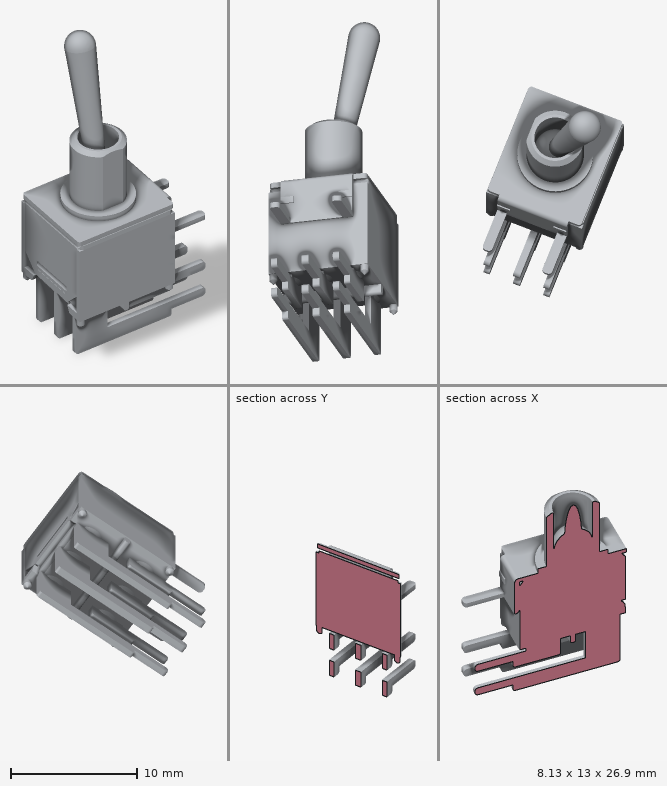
import cadquery as cq
import math


body_x = 8.13
body_y = 9.13
body_top = 7.8
wall = 0.4
cap_x = 7.95
cap_thickness = 0.43
cap_corner_radius = 0.25
shoulder_bottom = 6.98
cap_bottom = body_top - cap_thickness
shoulder_height = cap_bottom - shoulder_bottom
shoulder_run = 0.3
side_shoulder_run = 0.03
shoulder_corner_cut = 0.4
half_y = body_y / 2

panel_depth = 0.08
panel_y = panel_depth - half_y
panel_half_x = body_x / 2 - wall
ledge_top = 0.65
corner_depth = 0.25
corner_top = 2.3
tab_top = 0.83
tab_bottom = 0.18
tab_top_half_x = 2.24
tab_bottom_half_x = 2.64
tab_setback = 0.44
window_x = 4.17
window_bottom = 1.48
window_top = 2.3
window_depth = 0.35
catch_edge = 1.8
catch_gap = 0.02

flange_radius = 3.0
flange_top = 8.28
bushing_radius = 2.28
bushing_top = 13.88
bushing_flat_x = 2.07
bushing_chamfer_run = 0.4
bushing_chamfer_height = 0.3
bore_radius = 1.65
pivot_z = 9.79
lever_tilt = 12.3
lever_top = 22.61
lever_tip_radius = 1.27
lever_root_radius = 0.74
lever_length = (lever_top - lever_tip_radius - pivot_z) / math.cos(math.radians(lever_tilt))

pitch = 2.54
overall_y = 12.95
terminal_tip_y = overall_y - half_y
side_terminal_x = 0.5
middle_terminal_x = 0.58
prong_width = 0.8
prong_tip_radius = 0.3
blade_inner_y = 1.03
blade_outer_y = 4.02
blade_step_y = 5.13
blade_corner_radius = 0.2
prong_to_blade_bottom = 0.66
upper_prong_top = -0.25
overlap = 0.3

seal_half_x = 0.57
seal_half_y = 0.95
seal_height = 0.22
seal_taper = 50
foot_diameter = 0.65
foot_straight = 0.5
foot_height = 0.85
rib_thickness = 0.5
rib_height = 0.8
rib_edge_radius = 0.22

bracket_x = 2 * pitch + prong_width
bracket_thickness = 0.44
bracket_bottom = 4.02
bracket_bend_radius = 0.35
pad_height = 0.1
pad_x = 1.1
pad_bottom = 5.7
pad_top = 6.25


def box(x_range, y_range, z_range):
    """Axis-aligned box from its limits."""
    size = [b - a for a, b in (x_range, y_range, z_range)]
    corner = (x_range[0], y_range[0], z_range[0])
    return cq.Workplane("XY").box(*size, centered=False).translate(corner)


def front_prism(points, y_start, y_end):
    """Prism with an XZ outline, running from y_start to y_end."""
    return cq.Workplane("XZ", origin=(0, y_end, 0)).polyline(points).close().extrude(y_end - y_start)


def side_prism(points, half_x):
    """Prism with a YZ outline, symmetric about X = 0."""
    return cq.Workplane("YZ").polyline(points).close().extrude(half_x, both=True)


def make_shoulder_cut(run, edge, plane, half_length):
    """Pair of wedges sloping the top of two opposite walls back by run."""
    wedge = cq.Workplane(plane)
    for side in (-1, 1):
        outline = [
            (side * edge, shoulder_bottom),
            (side * edge, cap_bottom),
            (side * (edge - run), cap_bottom),
        ]
        wedge = wedge.polyline(outline).close()
    return wedge.extrude(half_length, both=True)


def make_shoulder_corner(side_x, side_y):
    """Triangular prism that bevels one vertical corner of the shoulder band."""
    corner_x = side_x * body_x / 2
    corner_y = side_y * half_y
    outline = [
        (corner_x, corner_y),
        (corner_x - side_x * shoulder_corner_cut, corner_y),
        (corner_x, corner_y - side_y * shoulder_corner_cut),
    ]
    base = cq.Workplane("XY", origin=(0, 0, shoulder_bottom))
    return base.polyline(outline).close().extrude(shoulder_height)


def make_housing():
    block = box((-body_x / 2, body_x / 2), (-half_y, half_y), (0, cap_bottom))
    block = block.cut(make_shoulder_cut(side_shoulder_run, body_x / 2, "XZ", half_y))
    block = block.cut(make_shoulder_cut(shoulder_run, half_y, "YZ", body_x / 2))
    for side_x in (-1, 1):
        for side_y in (-1, 1):
            block = block.cut(make_shoulder_corner(side_x, side_y))
    cap = (
        cq.Workplane("XY", origin=(0, 0, cap_bottom))
        .rect(cap_x, body_y)
        .extrude(cap_thickness)
        .edges("|Z")
        .fillet(cap_corner_radius)
    )
    return block.union(cap)


def make_panel_recess():
    outline = [
        (-half_y, ledge_top),
        (panel_y, ledge_top),
        (panel_y, shoulder_bottom),
        (panel_y + shoulder_run, cap_bottom),
        (-half_y, cap_bottom),
    ]
    return side_prism(outline, panel_half_x)


def make_panel_corner(side):
    outline = [
        (side * panel_half_x, corner_top),
        (side * tab_top_half_x, tab_top),
        (side * tab_top_half_x, ledge_top),
        (side * panel_half_x, ledge_top),
    ]
    return front_prism(outline, panel_y, panel_y + corner_depth)


def make_tab_gap():
    opening = front_prism(
        [
            (-tab_top_half_x, tab_top),
            (tab_top_half_x, tab_top),
            (tab_bottom_half_x, 0),
            (-tab_bottom_half_x, 0),
        ],
        -half_y,
        half_y,
    )
    tab_back_y = panel_y + tab_setback
    depth = [
        (-half_y, tab_top),
        (tab_back_y, tab_top),
        (tab_back_y, tab_bottom),
        (tab_back_y + wall, tab_bottom),
        (tab_back_y + wall, 0),
        (-half_y, 0),
    ]
    return opening.intersect(side_prism(depth, body_x / 2))


def make_window():
    outline = [
        (panel_y, window_top),
        (panel_y + window_depth, window_top),
        (panel_y + catch_gap, catch_edge),
        (panel_y + catch_gap, window_bottom),
        (panel_y, window_bottom),
    ]
    return side_prism(outline, window_x / 2)


def make_bushing():
    flange = cq.Workplane("XY", origin=(0, 0, body_top)).circle(flange_radius).extrude(flange_top - body_top)
    arc_offset = bore_radius * math.sqrt(0.5)
    tube = (
        cq.Workplane("XZ")
        .moveTo(0, body_top)
        .lineTo(bushing_radius, body_top)
        .lineTo(bushing_radius, bushing_top - bushing_chamfer_height)
        .lineTo(bushing_radius - bushing_chamfer_run, bushing_top)
        .lineTo(bore_radius, bushing_top)
        .lineTo(bore_radius, pivot_z)
        .threePointArc((arc_offset, pivot_z + arc_offset), (0, pivot_z + bore_radius))
        .close()
        .revolve(360, (0, 0, 0), (0, 1, 0))
    )
    flat = box(
        (bushing_flat_x, flange_radius),
        (-bushing_radius, bushing_radius),
        (flange_top, bushing_top),
    )
    return flange.union(tube.cut(flat))


def make_lever():
    arc_offset = lever_tip_radius * math.sqrt(0.5)
    lever = (
        cq.Workplane("XZ")
        .lineTo(lever_root_radius, 0)
        .lineTo(lever_tip_radius, lever_length)
        .threePointArc((arc_offset, lever_length + arc_offset), (0, lever_length + lever_tip_radius))
        .close()
        .revolve(360, (0, 0, 0), (0, 1, 0))
    )
    return lever.rotate((0, 0, 0), (0, 1, 0), -lever_tilt).translate((0, 0, pivot_z))


def make_terminal(inner_y, outer_y, prong_top, x, thickness):
    """Flat L-shaped terminal: a blade under the housing and a prong towards +Y."""
    prong_bottom = prong_top - prong_width
    blade_bottom = prong_bottom - prong_to_blade_bottom
    profile = cq.Workplane("YZ", origin=(x - thickness / 2, 0, 0)).polyline(
        [
            (inner_y, overlap),
            (outer_y, overlap),
            (outer_y, prong_top),
            (terminal_tip_y, prong_top),
            (terminal_tip_y, prong_bottom),
            (blade_step_y, prong_bottom),
            (blade_step_y, blade_bottom),
            (inner_y, blade_bottom),
        ]
    )
    terminal = profile.close().extrude(thickness)
    terminal = terminal.faces(">Y").edges("|X").fillet(prong_tip_radius)
    return terminal.faces("<Z").edges("|X").fillet(blade_corner_radius)


def make_seal(x, y):
    seal = cq.Workplane("XY").ellipse(seal_half_x, seal_half_y).extrude(-seal_height, taper=seal_taper)
    return seal.translate((x, y, 0))


def make_foot(x, y):
    radius = foot_diameter / 2
    foot = (
        cq.Workplane("XZ")
        .moveTo(0, overlap)
        .lineTo(radius, overlap)
        .lineTo(radius, -foot_straight)
        .lineTo(0, -foot_height)
        .close()
        .revolve(360, (0, 0, 0), (0, 1, 0))
    )
    return foot.translate((x, y, 0))


def make_rib():
    rib = box((-cap_x / 2, cap_x / 2), (-rib_thickness / 2, rib_thickness / 2), (-rib_height, overlap))
    return rib.faces("<Z").edges("|X").fillet(rib_edge_radius)


def make_bracket():
    plate_y = half_y + bracket_thickness
    plate = box((-bracket_x / 2, bracket_x / 2), (half_y, plate_y), (bracket_bottom, body_top))
    plate = plate.edges("|X and >Y and >Z").fillet(bracket_bend_radius)
    plate = plate.edges("|X and <Y and <Z").fillet(bracket_bend_radius)
    for side in (-1, 1):
        prong = box(
            (-prong_width / 2, prong_width / 2),
            (plate_y, terminal_tip_y),
            (bracket_bottom, bracket_bottom + bracket_thickness),
        )
        prong = prong.faces(">Y").edges("|Z").fillet(prong_tip_radius)
        plate = plate.union(prong.translate((side * pitch, 0, 0)))
        pad_center = side * (bracket_x - pad_x) / 2
        pad = box((-pad_x / 2, pad_x / 2), (half_y, plate_y + pad_height), (pad_bottom, pad_top))
        plate = plate.union(pad.translate((pad_center, 0, 0)))
    return plate


switch = make_housing().cut(make_panel_recess())
for side in (-1, 1):
    switch = switch.cut(make_panel_corner(side))
switch = switch.cut(make_tab_gap()).cut(make_window())
switch = switch.union(make_bushing()).union(make_lever())
switch = switch.union(make_rib()).union(make_bracket())

seal_y = (blade_inner_y + blade_outer_y) / 2
for column in (-1, 0, 1):
    terminal_x = column * pitch
    thickness = side_terminal_x if column else middle_terminal_x
    upper = make_terminal(blade_inner_y, blade_outer_y, upper_prong_top, terminal_x, thickness)
    lower = make_terminal(-blade_outer_y, -blade_inner_y, upper_prong_top - pitch, terminal_x, thickness)
    switch = switch.union(upper).union(lower)
    for row in (-1, 1):
        switch = switch.union(make_seal(terminal_x, row * seal_y))

foot_x = (body_x - foot_diameter) / 2
foot_y = (body_y - foot_diameter) / 2
for side_x in (-1, 1):
    for side_y in (-1, 1):
        switch = switch.union(make_foot(side_x * foot_x, side_y * foot_y))

result = switch